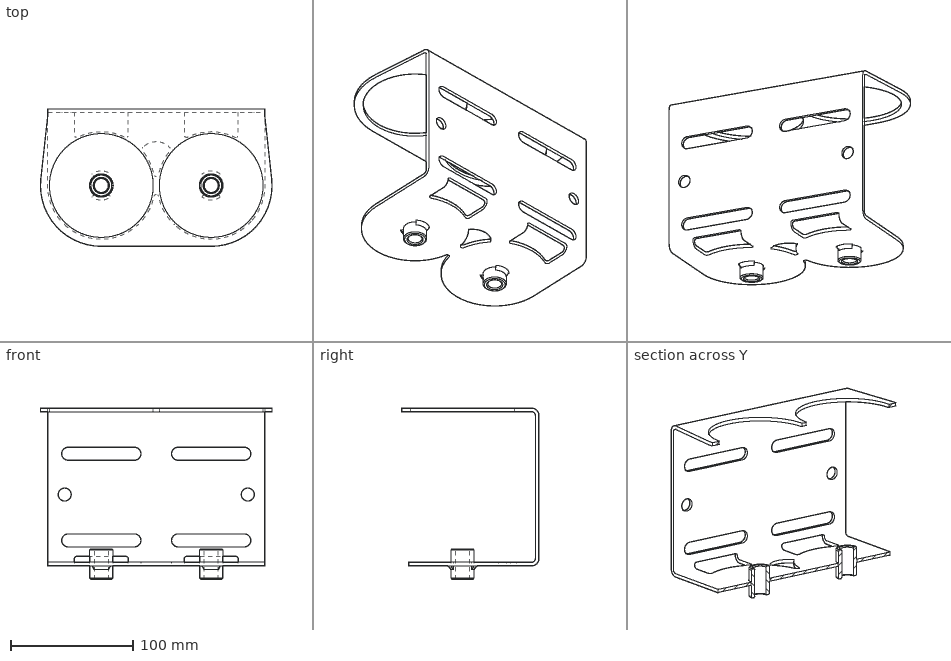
import cadquery as cq
import math

sheet = 3.0
bend_inner_radius = 3.0
bend_outer_radius = bend_inner_radius + sheet
bracket_height = 129.3

station_x = 45.0
station_y = -62.6
station_sides = (-1, 1)

upper_corner_radius = 50.0
ring_hole_diameter = 85.0
upper_front_y = station_y - upper_corner_radius

lower_disc_radius = 44.0
web_round_radius = 1.9
bushing_hole_diameter = 19.2
wall_half_width = station_x + lower_disc_radius

opening_half_width = 12.3
opening_back_y = -26.8

window_width = 44.0
window_height = 7.8
window_round_radius = 1.9

slot_length = 64.7
slot_width = 10.5
slot_heights = (20.9, 91.9)
wall_hole_diameter = 10.5
wall_hole_x = 75.0
wall_hole_z = 58.5

bushing_diameter = 19.0
bushing_bore = 11.4
bushing_length = 25.0
bushing_drop = 11.0
bushing_chamfer = 1.0

weld_reach = 2.5
weld_depth = 3.0
weld_angle = 78.0
weld_directions = (-90, 90)


def u_section():
    """Full-width U of bent sheet, before its shelves are trimmed."""
    half_width = station_x + upper_corner_radius
    depth = -upper_front_y

    def rounded_block(inset, radius):
        return (
            cq.Workplane("XY")
            .box(2 * half_width, 2 * depth, bracket_height - 2 * inset)
            .translate((0, -depth - inset, bracket_height / 2))
            .edges(">Y and |X")
            .fillet(radius)
        )

    front_trim = (
        cq.Workplane("XY")
        .box(2 * half_width, depth, bracket_height, centered=(True, False, False))
        .translate((0, -depth, 0))
    )
    shell = rounded_block(0, bend_outer_radius).cut(rounded_block(sheet, bend_inner_radius))
    return shell.intersect(front_trim)


def upper_outline():
    """Plan of the upper shelf: sides flare from the bend until tangent to the front corners."""
    to_corner_x = wall_half_width - station_x
    to_corner_y = -bend_outer_radius - station_y
    corner_distance = math.hypot(to_corner_x, to_corner_y)
    tangent_angle = math.atan2(to_corner_y, to_corner_x) - math.acos(upper_corner_radius / corner_distance)
    arc_middle_angle = (tangent_angle - math.pi / 2) / 2

    def corner_point(angle, side):
        x = station_x + upper_corner_radius * math.cos(angle)
        return (side * x, station_y + upper_corner_radius * math.sin(angle))

    return (
        cq.Workplane("XY")
        .moveTo(-wall_half_width, 0)
        .lineTo(wall_half_width, 0)
        .lineTo(wall_half_width, -bend_outer_radius)
        .lineTo(*corner_point(tangent_angle, 1))
        .threePointArc(corner_point(arc_middle_angle, 1), (station_x, upper_front_y))
        .lineTo(-station_x, upper_front_y)
        .threePointArc(corner_point(arc_middle_angle, -1), corner_point(tangent_angle, -1))
        .lineTo(-wall_half_width, -bend_outer_radius)
        .close()
    )


web_round_offset = math.sqrt((lower_disc_radius + web_round_radius) ** 2 - station_x**2)
web_half_depth = web_round_offset - web_round_radius
web_share = lower_disc_radius / (lower_disc_radius + web_round_radius)
web_tangent_x = station_x * (1 - web_share)
web_tangent_offset = web_round_offset * web_share


def lower_outline():
    """Plan of the lower shelf: two round lobes with a rounded notch between them."""
    lobe_front_y = station_y - lower_disc_radius
    notch_y = station_y - web_tangent_offset
    diagonal = lower_disc_radius * math.sqrt(0.5)
    notch_angle = math.atan2(web_tangent_offset, station_x - web_tangent_x)
    inner_angle = (notch_angle + math.pi / 2) / 2
    inner_x = station_x - lower_disc_radius * math.cos(inner_angle)
    inner_y = station_y - lower_disc_radius * math.sin(inner_angle)
    return (
        cq.Workplane("XY")
        .moveTo(-wall_half_width, 0)
        .lineTo(wall_half_width, 0)
        .lineTo(wall_half_width, station_y)
        .threePointArc((station_x + diagonal, station_y - diagonal), (station_x, lobe_front_y))
        .threePointArc((inner_x, inner_y), (web_tangent_x, notch_y))
        .threePointArc((0, station_y - web_half_depth), (-web_tangent_x, notch_y))
        .threePointArc((-inner_x, inner_y), (-station_x, lobe_front_y))
        .threePointArc((-station_x - diagonal, station_y - diagonal), (-wall_half_width, station_y))
        .close()
    )


def disc_opening():
    """Three-sided opening behind the web, bounded by both discs and a back arc."""
    corner_offset = math.sqrt(lower_disc_radius**2 - (station_x - opening_half_width) ** 2)
    corner_y = station_y + corner_offset
    tip_y = station_y + web_tangent_offset
    side_angle = (
        math.atan2(corner_offset, station_x - opening_half_width)
        + math.atan2(web_tangent_offset, station_x - web_tangent_x)
    ) / 2
    side_x = station_x - lower_disc_radius * math.cos(side_angle)
    side_y = station_y + lower_disc_radius * math.sin(side_angle)
    return (
        cq.Workplane("XY")
        .moveTo(-opening_half_width, corner_y)
        .threePointArc((0, opening_back_y), (opening_half_width, corner_y))
        .threePointArc((side_x, side_y), (web_tangent_x, tip_y))
        .threePointArc((0, station_y + web_half_depth), (-web_tangent_x, tip_y))
        .threePointArc((-side_x, side_y), (-opening_half_width, corner_y))
        .close()
        .extrude(sheet)
    )


def bend_window(x):
    """Cutter for the window behind a disc, running through the bend and a little up the wall."""
    disc = cq.Workplane("XY").center(x, station_y).circle(lower_disc_radius).extrude(window_height)
    return (
        cq.Workplane("XY")
        .box(window_width, -station_y, window_height, centered=(True, False, False))
        .translate((x, station_y, 0))
        .cut(disc)
        .edges("(>Z and |Y) or (|Z and (not >Y))")
        .fillet(window_round_radius)
    )


def wall_openings():
    """Cutters for the four slots and two round holes of the wall."""
    slots = (
        cq.Workplane("XZ")
        .pushPoints([(side * station_x, z) for side in station_sides for z in slot_heights])
        .slot2D(slot_length, slot_width)
        .extrude(sheet)
    )
    holes = (
        cq.Workplane("XZ")
        .pushPoints([(side * wall_hole_x, wall_hole_z) for side in station_sides])
        .circle(wall_hole_diameter / 2)
        .extrude(sheet)
    )
    return slots.add(holes)


def station_hole(x, diameter, bottom_z):
    """Cutter for a round hole through the shelf whose underside is at bottom_z."""
    return cq.Workplane("XY", origin=(x, station_y, bottom_z)).circle(diameter / 2).extrude(sheet)


def make_bracket():
    half_height = bracket_height / 2
    plan = lower_outline().extrude(half_height)
    plan = plan.union(upper_outline().extrude(half_height).translate((0, 0, half_height)))
    body = u_section().intersect(plan).cut(disc_opening())
    for cutter in wall_openings().vals():
        body = body.cut(cq.Workplane(cutter))
    for side in station_sides:
        x = side * station_x
        body = body.cut(station_hole(x, ring_hole_diameter, bracket_height - sheet))
        body = body.cut(station_hole(x, bushing_hole_diameter, 0))
        body = body.cut(bend_window(x))
    return body


def make_bushing(x):
    """Plain sleeve standing through the lower shelf, chamfered inside and out at both ends."""
    return (
        cq.Workplane("XY", origin=(x, station_y, -bushing_drop))
        .circle(bushing_diameter / 2)
        .circle(bushing_bore / 2)
        .extrude(bushing_length)
        .faces("<Z or >Z")
        .edges()
        .chamfer(bushing_chamfer)
    )


def make_weld(x, direction):
    """Triangular bead swept round the bushing, centred on the given direction in degrees."""
    inner = bushing_diameter / 2
    return (
        cq.Workplane("XZ")
        .polyline([(inner, 0), (inner + weld_reach, 0), (inner, -weld_depth)])
        .close()
        .revolve(weld_angle, (0, 0, 0), (0, 1, 0))
        .rotate((0, 0, 0), (0, 0, 1), direction - weld_angle / 2)
        .translate((x, station_y, 0))
    )


bracket = make_bracket()
bushings = [make_bushing(side * station_x) for side in station_sides]
welds = [make_weld(side * station_x, direction) for side in station_sides for direction in weld_directions]

result = cq.Compound.makeCompound(
    [bracket.val()] + [bushing.val() for bushing in bushings] + [weld.val() for weld in welds]
)